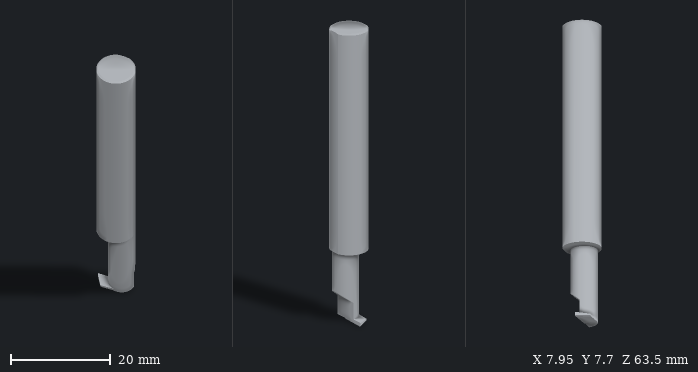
import cadquery as cq

total_length = 63.5
shank_diameter = 7.95
shank_radius = shank_diameter / 2
shank_bottom = 15.75
shank_chamfer = 0.4
chamfer_height = 0.25
flat_depth = 0.25

neck_diameter = 5.45
neck_radius = neck_diameter / 2
neck_center_x = shank_radius - neck_radius
neck_bottom = 0.25

ramp_bottom = 4.4
ramp_top = 6.65

head_depth = 2.65
head_top = 0.8
head_front_top = 0.65
head_front_bottom = 0.2
tip_x = -shank_radius
nose_width = 0.4
nose_height = 0.1
head_front_x = -2.3
crease_rake_x = -1.5
crease_front_x = -1.85
heel_height = 0.1


def make_shank():
    shank = (
        cq.Workplane("XY")
        .workplane(offset=shank_bottom)
        .circle(shank_radius)
        .extrude(total_length - shank_bottom)
        .faces(">Z").edges().chamfer(chamfer_height, shank_chamfer)
    )
    flat_cutter = (
        cq.Workplane("XY")
        .box(shank_diameter, shank_diameter, total_length, centered=(True, False, False))
        .translate((0, shank_radius - flat_depth, 0))
    )
    return shank.cut(flat_cutter)


def make_neck():
    neck = (
        cq.Workplane("XY")
        .workplane(offset=neck_bottom)
        .center(neck_center_x, 0)
        .circle(neck_radius)
        .extrude(shank_bottom - neck_bottom)
    )
    relief = (
        cq.Workplane("YZ")
        .polyline([(0, 0), (0, ramp_bottom), (neck_radius, ramp_top), (neck_radius, 0)])
        .close()
        .extrude(shank_diameter, both=True)
    )
    return neck.cut(relief)


def make_head():
    rake_outline = [
        (tip_x, head_top),
        (tip_x, nose_height),
        (tip_x + nose_width, 0),
        (neck_center_x, heel_height),
        (neck_center_x, head_top),
        (crease_rake_x, head_top),
    ]
    front_outline = [
        (head_front_x, head_front_top),
        (head_front_x, head_front_bottom + nose_height),
        (head_front_x + nose_width, head_front_bottom),
        (neck_center_x, head_front_bottom + heel_height),
        (neck_center_x, head_top),
        (crease_front_x, head_front_top),
    ]
    return (
        cq.Workplane("XZ")
        .polyline(rake_outline).close()
        .workplane(offset=head_depth)
        .polyline(front_outline).close()
        .loft(ruled=True)
    )


result = make_shank().union(make_neck()).union(make_head())